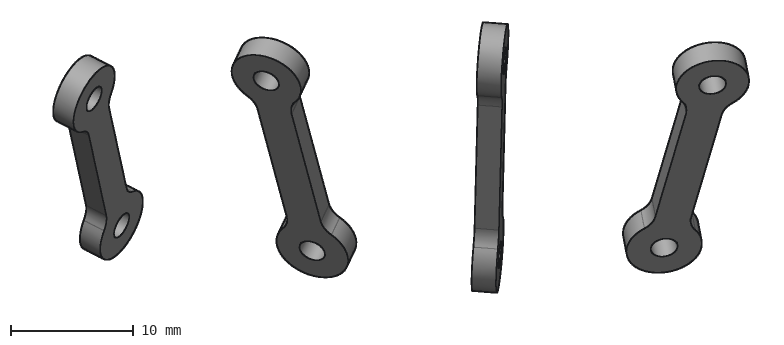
import cadquery as cq
import math

thickness = 2.0
upper_radius = 3.0
lower_radius = 3.1
hole_diameter = 2.2
bar_width = 3.0
neck_radius = 2.0
eye_offset_y = 3.98
eye_offset_z = 19.58

eye_spacing = math.hypot(eye_offset_y, eye_offset_z)
lean_angle = math.degrees(math.atan2(eye_offset_y, eye_offset_z))
half_width = bar_width / 2
neck_center_x = half_width + neck_radius


def neck_points(eye_radius):
    """Return the eye tangent, arc middle and bar tangent as (across, along) from the eye."""
    reach = eye_radius + neck_radius
    angle = math.asin(neck_center_x / reach)
    neck_center_y = reach * math.cos(angle)
    eye_tangent = (eye_radius * math.sin(angle), eye_radius * math.cos(angle))
    middle_angle = (angle + math.pi / 2) / 2
    middle = (
        neck_center_x - neck_radius * math.sin(middle_angle),
        neck_center_y - neck_radius * math.cos(middle_angle),
    )
    bar_tangent = (half_width, neck_center_y)
    return eye_tangent, middle, bar_tangent


def lower(point, side):
    """Place a neck point on the lower eye; side is +1 or -1."""
    return (side * point[0], point[1])


def upper(point, side):
    """Place a neck point on the upper eye; side is +1 or -1."""
    return (side * point[0], eye_spacing - point[1])


low_eye, low_middle, low_bar = neck_points(lower_radius)
up_eye, up_middle, up_bar = neck_points(upper_radius)
link = (
    cq.Workplane("YZ")
    .moveTo(*lower(low_eye, 1))
    .threePointArc(lower(low_middle, 1), lower(low_bar, 1))
    .lineTo(*upper(up_bar, 1))
    .threePointArc(upper(up_middle, 1), upper(up_eye, 1))
    .threePointArc((0, eye_spacing + upper_radius), upper(up_eye, -1))
    .threePointArc(upper(up_middle, -1), upper(up_bar, -1))
    .lineTo(*lower(low_bar, -1))
    .threePointArc(lower(low_middle, -1), lower(low_eye, -1))
    .threePointArc((0, -lower_radius), lower(low_eye, 1))
    .close()
    .extrude(thickness)
)

holes = (
    cq.Workplane("YZ")
    .pushPoints([(0, 0), (0, eye_spacing)])
    .circle(hole_diameter / 2)
    .extrude(thickness)
)

result = link.cut(holes).rotate((0, 0, 0), (1, 0, 0), lean_angle)